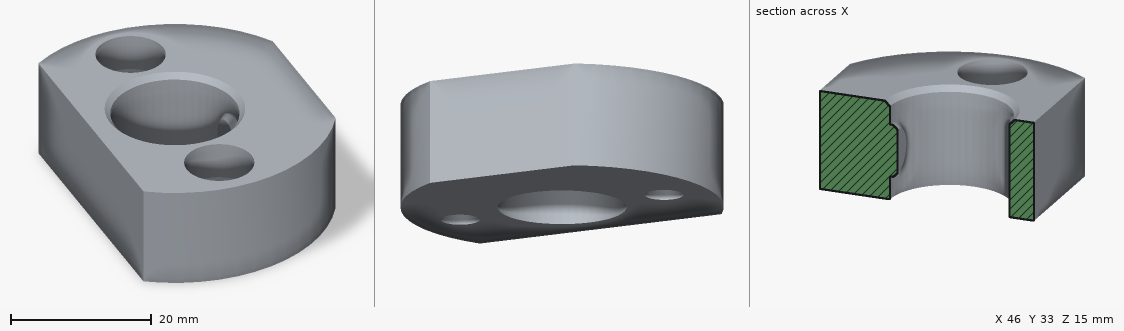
import cadquery as cq

body_diameter = 46.0
body_height = 15.0
front_flat_y = -13.0
back_flat_y = 20.0

bore_diameter = 18.38
bore_rim_diameter = 20.0
bore_chamfer = (bore_rim_diameter - bore_diameter) / 2

screw_spacing = 32.0
screw_hole_diameter = 5.5
counterbore_diameter = 10.0
counterbore_depth = 5.5

pin_diameter = 8.0
pin_tip_y = 8.0
pin_tip_chamfer = 0.7
pin_axis_z = body_height / 2
pin_root_y = (bore_diameter / 2 + back_flat_y) / 2


def make_body():
    """Disc trimmed to the band between the two flats."""
    disc = cq.Workplane("XY").circle(body_diameter / 2).extrude(body_height)
    band = (
        cq.Workplane("XY")
        .center(0, (front_flat_y + back_flat_y) / 2)
        .rect(body_diameter, back_flat_y - front_flat_y)
        .extrude(body_height)
    )
    return disc.intersect(band)


def make_bore():
    """Cutter for the through bore and its conical rim."""
    bore_radius = bore_diameter / 2
    return (
        cq.Workplane("XZ")
        .lineTo(bore_radius, 0)
        .lineTo(bore_radius, body_height - bore_chamfer)
        .lineTo(bore_rim_diameter / 2, body_height)
        .lineTo(0, body_height)
        .close()
        .revolve(360, (0, 0, 0), (0, 1, 0))
    )


def cut_screw_holes(part):
    """Counterbored through holes entered from the top face."""
    return (
        part.faces(">Z")
        .workplane(origin=(0, 0, body_height))
        .pushPoints([(side * screw_spacing / 2, 0) for side in (-1, 1)])
        .cboreHole(screw_hole_diameter, counterbore_diameter, counterbore_depth)
    )


def make_pin():
    """Pin along Y, rooted inside the back wall."""
    return (
        cq.Workplane("XZ", origin=(0, pin_root_y, pin_axis_z))
        .circle(pin_diameter / 2)
        .extrude(pin_root_y - pin_tip_y)
        .faces("<Y")
        .chamfer(pin_tip_chamfer)
    )


bored_body = make_body().cut(make_bore())
result = cut_screw_holes(bored_body).union(make_pin())